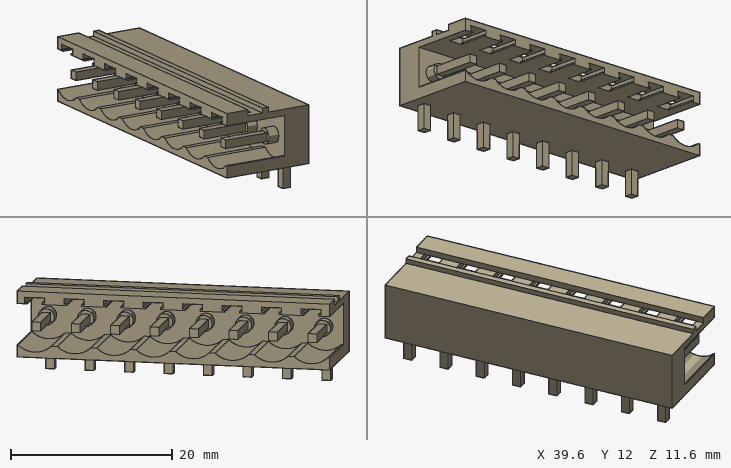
import cadquery as cq

pole_count = 8
length = 39.6
depth = 12.0
first_pole_x = 2.2
last_pole_x = 37.22
pitch = (last_pole_x - first_pole_x) / (pole_count - 1)

back_wall = 3.55
plate_top = 7.6
plate_thickness = 0.85
plate_bottom = plate_top - plate_thickness
lip_top = 8.35
lip_depth = 3.1
rib_front = 5.23
rib_width = 0.85
rib_top = 8.25
pocket_depth = depth - back_wall

floor_top = 1.55
scallop_width = 4.25
scallop_depth = 0.85

slot_width = 2.55
slot_throat_width = 1.9
slot_throat_height = 0.2
slot_depth = 4.15

boss_diameter = 2.05
boss_length = 1.43

pin_size = 1.1
pin_z = 3.75
pin_tip_y = 0.95
tail_setback = 2.1
tail_y = depth - tail_setback
tail_length = 3.3

pole_xs = [first_pole_x + i * pitch for i in range(pole_count)]


def box(x_min, x_max, y_min, y_max, z_min, z_max):
    """Box given by its limits along each axis."""
    size = (x_max - x_min, y_max - y_min, z_max - z_min)
    return cq.Workplane("XY").box(*size, centered=False).translate((x_min, y_min, z_min))


def make_shell():
    """C-shaped section with a locating rib and a front lip, swept along X."""
    block = box(0, length, 0, depth, 0, plate_top)
    rib = box(0, length, rib_front, rib_front + rib_width, plate_bottom, rib_top)
    lip = box(0, length, 0, lip_depth, plate_bottom, lip_top)
    pocket = box(0, length, 0, pocket_depth, floor_top, plate_bottom)
    return block.union(rib).union(lip).cut(pocket)


def make_scallop(x):
    """Circular-arc trough in the floor below one pole."""
    half_width = scallop_width / 2
    return (
        cq.Workplane("XZ")
        .moveTo(x - half_width, floor_top)
        .threePointArc((x, floor_top - scallop_depth), (x + half_width, floor_top))
        .close()
        .extrude(-pocket_depth)
    )


def make_slot(x):
    """Slot through the top plate, narrower at its lower side."""
    half_width = slot_width / 2
    half_throat = slot_throat_width / 2
    step_z = plate_bottom + slot_throat_height
    wide_part = box(x - half_width, x + half_width, 0, slot_depth, step_z, plate_top)
    throat = box(x - half_throat, x + half_throat, 0, slot_depth, plate_bottom, step_z)
    return wide_part.union(throat)


def make_boss(x):
    """Round boss on the back wall around one pin."""
    return (
        cq.Workplane("XZ", origin=(x, pocket_depth, pin_z))
        .circle(boss_diameter / 2)
        .extrude(boss_length)
    )


def make_pin(x):
    """Square pin: contact along Y, bent down into a solder tail."""
    half = pin_size / 2
    contact = box(x - half, x + half, pin_tip_y, tail_y + half, pin_z - half, pin_z + half)
    tail = box(x - half, x + half, tail_y - half, tail_y + half, -tail_length, pin_z + half)
    return contact.union(tail)


pins = [make_pin(x) for x in pole_xs]

housing = make_shell()
for x in pole_xs:
    housing = housing.cut(make_scallop(x)).cut(make_slot(x)).union(make_boss(x))
for pin in pins:
    housing = housing.cut(pin)

result = cq.Compound.makeCompound([housing.val(), *[pin.val() for pin in pins]])